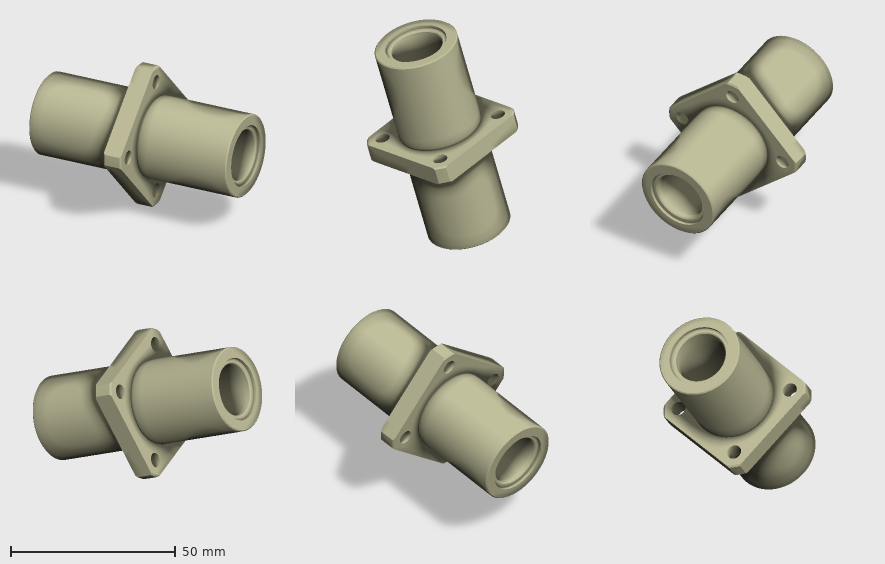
import cadquery as cq

length = 68.0
body_diameter = 26.0
body_chamfer = 0.35

bore_diameter = 16.0
bore_chamfer = 0.35
recess_diameter = 19.2
recess_depth = 1.0

flange_thickness = 6.0
flange_square = 34.9
flange_corner_diameter = 46.0
corner_chamfer_axial = 0.4
corner_chamfer_radial = 0.55

relief_width = 0.6
relief_depth = 0.2

hole_diameter = 4.5
hole_circle_diameter = 36.05
hole_count = 4


def revolve_about_x(points):
    """Revolve a closed (x, radius) profile about the X axis."""
    profile = cq.Workplane("XY").polyline(points).close()
    return profile.revolve(360, (0, 0, 0), (1, 0, 0))


def flange_plane():
    """YZ workplane at the -X face of the flange."""
    return cq.Workplane("YZ").workplane(offset=-flange_thickness / 2)


def make_body():
    end = length / 2
    radius = body_diameter / 2
    relief_radius = radius - relief_depth
    flange_face = flange_thickness / 2
    relief_end = flange_face + relief_width
    return revolve_about_x([
        (-end, 0),
        (-end, radius - body_chamfer),
        (-end + body_chamfer, radius),
        (-relief_end, radius),
        (-flange_face, relief_radius),
        (flange_face, relief_radius),
        (relief_end, radius),
        (end - body_chamfer, radius),
        (end, radius - body_chamfer),
        (end, 0),
    ])


def make_flange():
    square = flange_plane().transformed(rotate=(0, 0, 45))
    square = square.rect(flange_square, flange_square).extrude(flange_thickness)

    face = flange_thickness / 2
    radius = flange_corner_diameter / 2
    turned_disc = revolve_about_x([
        (-face, 0),
        (-face, radius - corner_chamfer_radial),
        (-face + corner_chamfer_axial, radius),
        (face - corner_chamfer_axial, radius),
        (face, radius - corner_chamfer_radial),
        (face, 0),
    ])
    return square.intersect(turned_disc)


def make_mounting_holes():
    holes = flange_plane().polarArray(hole_circle_diameter / 2, 0, 360, hole_count)
    return holes.circle(hole_diameter / 2).extrude(flange_thickness)


def make_bore():
    end = length / 2
    recess_floor = end - recess_depth
    radius = bore_diameter / 2
    mouth_radius = radius + bore_chamfer
    recess_radius = recess_diameter / 2
    return revolve_about_x([
        (-end, 0),
        (-end, recess_radius),
        (-recess_floor, recess_radius),
        (-recess_floor, mouth_radius),
        (-recess_floor + bore_chamfer, radius),
        (recess_floor - bore_chamfer, radius),
        (recess_floor, mouth_radius),
        (recess_floor, recess_radius),
        (end, recess_radius),
        (end, 0),
    ])


result = make_body().union(make_flange()).cut(make_mounting_holes()).cut(make_bore())